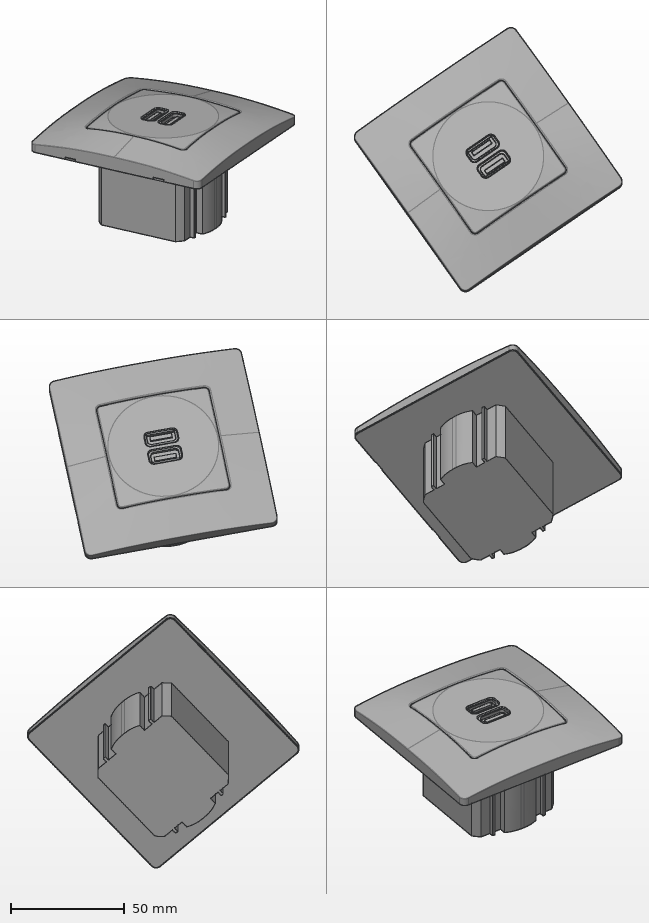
import cadquery as cq
import math

TOTAL_HEIGHT = 47.9

FRAME_SIZE = 86.0
FRAME_BOTTOM = 37.7
FRAME_CORNER_RADIUS = 2.8
FRAME_EDGE_ROUND = 0.2
FRAME_BOTTOM_CHAMFER = 0.35
FRAME_SLOPE = 0.21
SLOPE_EXPONENT = 2.5
SLOPE_SPANS = 24
SLOPE_OVERSHOOT = 0.9
OUTER_EDGE_BAND = (39.9, 44.7)

WINDOW_HALF = 25.2
WINDOW_CORNER_RADIUS = 2.1
INSERT_GAP = 0.1
INSERT_DEPTH = 2.15
INSERT_BOTTOM = TOTAL_HEIGHT - INSERT_DEPTH
INSERT_FLAT_RADIUS = 24.3
INSERT_SLOPE = 0.15
RIM_ROUND = 0.5

SOCKET_OFFSET = 4.3
RECESS_WIDTH = 7.1
RECESS_LENGTH = 15.05
RECESS_CORNER_RADIUS = 2.2
RECESS_DEPTH = 0.5
RECESS_BEVEL = 0.4
POCKET_WIDTH = 4.7
POCKET_LENGTH = 12.55
POCKET_INNER_RADIUS = 1.6
POCKET_OUTER_RADIUS = 0.4
POCKET_FLOOR = TOTAL_HEIGHT - 2.1
TONGUE_OFFSET = 5.0
TONGUE_WIDTH = 1.9
TONGUE_LENGTH = 9.7
TONGUE_HEIGHT = 1.0

HOUSING_HALF = 21.8
HOUSING_CORNER_REACH = 28.7
BULGE_SHOULDER = 24.85
BULGE_REACH = 26.6
BULGE_HALF_WIDTH = 8.4
BULGE_FLAT_HALF = 0.9
RIB_REACH = 23.9
RIB_INNER = 12.8
RIB_OUTER = 14.1
RIB_CHAMFER = 0.3

NOTCH_INNER = 19.8
NOTCH_OUTER = 24.9
NOTCH_HEIGHT = 1.1
NOTCH_DEPTH = 0.4


def rounded_block(width, length, radius, bottom, top):
    block = cq.Workplane("XY", origin=(0, 0, bottom)).rect(width, length).extrude(top - bottom)
    return block.edges("|Z").fillet(radius)


def window_block(clearance, top):
    """Block of the window outline, smaller by the clearance on every side."""
    size = 2 * (WINDOW_HALF - clearance)
    return rounded_block(size, size, WINDOW_CORNER_RADIUS - clearance, INSERT_BOTTOM, top)


def round_window_rim(body):
    """Round the curved upper edge that runs along the window outline."""
    tolerance = 0.1
    reach = WINDOW_HALF + tolerance
    lowest = INSERT_BOTTOM + tolerance
    corner_start = WINDOW_HALF - WINDOW_CORNER_RADIUS

    def on_rim(edge):
        centre = edge.Center()
        distance = max(abs(centre.x), abs(centre.y))
        return corner_start < distance < reach and centre.z > lowest and edge.geomType() != "LINE"

    rim = [edge for edge in body.edges().vals() if on_rim(edge)]
    return body.newObject(rim).fillet(RIM_ROUND)


def superellipse(reach, height):
    """Closed section with the given reach along X and Y, made of a right and a left half."""

    def point(angle):
        c = math.cos(angle)
        s = math.sin(angle)
        norm = (abs(c) ** SLOPE_EXPONENT + abs(s) ** SLOPE_EXPONENT) ** (1 / SLOPE_EXPONENT)
        return cq.Vector(reach * c / norm, reach * s / norm, height)

    def half(start):
        points = [point(start + math.pi * i / SLOPE_SPANS) for i in range(SLOPE_SPANS + 1)]
        direction = cq.Vector(-math.sin(start), math.cos(start), 0)
        return cq.Edge.makeSpline(points, tangents=[direction, -direction])

    return cq.Wire.assembleEdges([half(-math.pi / 2), half(math.pi / 2)])


def make_frame():
    slope_top = TOTAL_HEIGHT + SLOPE_OVERSHOOT
    rim_reach = WINDOW_HALF + RIM_ROUND
    low_reach = rim_reach + (TOTAL_HEIGHT - FRAME_BOTTOM) / FRAME_SLOPE
    high_reach = rim_reach - SLOPE_OVERSHOOT / FRAME_SLOPE
    sections = [superellipse(low_reach, FRAME_BOTTOM), superellipse(high_reach, slope_top)]
    slope = cq.Workplane(cq.Solid.makeLoft(sections, True))

    frame = rounded_block(FRAME_SIZE, FRAME_SIZE, FRAME_CORNER_RADIUS, FRAME_BOTTOM, slope_top)
    frame = frame.intersect(slope)
    frame = frame.faces("<Z").edges().chamfer(FRAME_BOTTOM_CHAMFER)
    low, high = OUTER_EDGE_BAND
    band = cq.selectors.BoxSelector((-FRAME_SIZE, -FRAME_SIZE, low), (FRAME_SIZE, FRAME_SIZE, high))
    frame = frame.edges(band).edges("not |Z").fillet(FRAME_EDGE_ROUND)
    return round_window_rim(frame.cut(window_block(0, slope_top)))


def make_insert():
    """Square insert with a flat round top that falls away conically to the corners."""
    low_radius = INSERT_FLAT_RADIUS + INSERT_DEPTH / INSERT_SLOPE
    cone = cq.Solid.makeCone(
        low_radius, INSERT_FLAT_RADIUS, INSERT_DEPTH, cq.Vector(0, 0, INSERT_BOTTOM)
    )
    return round_window_rim(window_block(INSERT_GAP, TOTAL_HEIGHT).intersect(cq.Workplane(cone)))


def make_socket_cutter(side):
    """Bevelled recess with a pocket in it; the contact tongue is left standing on the pocket floor."""
    recess = rounded_block(
        RECESS_WIDTH, RECESS_LENGTH, RECESS_CORNER_RADIUS, TOTAL_HEIGHT - RECESS_DEPTH, TOTAL_HEIGHT
    )
    recess = recess.faces("<Z").edges().chamfer(RECESS_BEVEL)

    pocket = (
        cq.Workplane("XY", origin=(0, 0, POCKET_FLOOR))
        .rect(POCKET_WIDTH, POCKET_LENGTH)
        .extrude(TOTAL_HEIGHT - POCKET_FLOOR)
    )
    inner, outer = ("<X", ">X") if side > 0 else (">X", "<X")
    pocket = pocket.faces(inner).edges("|Z").fillet(POCKET_INNER_RADIUS)
    pocket = pocket.faces(outer).edges("|Z").fillet(POCKET_OUTER_RADIUS)

    tongue = (
        cq.Workplane("XY", origin=(side * (TONGUE_OFFSET - SOCKET_OFFSET), 0, POCKET_FLOOR))
        .rect(TONGUE_WIDTH, TONGUE_LENGTH)
        .extrude(TONGUE_HEIGHT)
    )
    return recess.union(pocket).cut(tongue).translate((side * SOCKET_OFFSET, 0, 0))


def make_bulge(side):
    """Rounded bulge on the side of the housing, with a narrow flat at its crest."""
    shoulder = side * BULGE_SHOULDER
    crest = side * BULGE_REACH
    rise = BULGE_REACH - BULGE_SHOULDER
    run = BULGE_HALF_WIDTH - BULGE_FLAT_HALF
    arc_radius = (run**2 + rise**2) / (2 * rise)
    half_angle = math.atan2(rise, run)
    mid_x = crest - side * arc_radius * (1 - math.cos(half_angle))
    mid_y = BULGE_FLAT_HALF + arc_radius * math.sin(half_angle)
    return (
        cq.Workplane("XY")
        .moveTo(0, -BULGE_HALF_WIDTH)
        .lineTo(shoulder, -BULGE_HALF_WIDTH)
        .threePointArc((mid_x, -mid_y), (crest, -BULGE_FLAT_HALF))
        .lineTo(crest, BULGE_FLAT_HALF)
        .threePointArc((mid_x, mid_y), (shoulder, BULGE_HALF_WIDTH))
        .lineTo(0, BULGE_HALF_WIDTH)
        .close()
        .extrude(FRAME_BOTTOM)
    )


def make_rib(side_x, side_y):
    tip = side_x * RIB_REACH
    return (
        cq.Workplane("XY")
        .moveTo(0, side_y * RIB_INNER)
        .lineTo(tip, side_y * RIB_INNER)
        .lineTo(tip, side_y * (RIB_OUTER - RIB_CHAMFER))
        .lineTo(tip - side_x * RIB_CHAMFER, side_y * RIB_OUTER)
        .lineTo(0, side_y * RIB_OUTER)
        .close()
        .extrude(FRAME_BOTTOM)
    )


def make_housing():
    housing = cq.Workplane("XY").rect(2 * HOUSING_HALF, 2 * HOUSING_HALF).extrude(FRAME_BOTTOM)
    corner_cylinder = cq.Workplane("XY").circle(HOUSING_CORNER_REACH).extrude(FRAME_BOTTOM)
    housing = housing.intersect(corner_cylinder)
    for side_x in (-1, 1):
        housing = housing.union(make_bulge(side_x))
        for side_y in (-1, 1):
            housing = housing.union(make_rib(side_x, side_y))
    return housing


def make_notch(side):
    """Cutter centred on the front face, so half of its depth bites into the frame."""
    centre_x = side * (NOTCH_INNER + NOTCH_OUTER) / 2
    return (
        cq.Workplane("XY", origin=(centre_x, -FRAME_SIZE / 2, FRAME_BOTTOM))
        .rect(NOTCH_OUTER - NOTCH_INNER, 2 * NOTCH_DEPTH)
        .extrude(NOTCH_HEIGHT)
    )


result = make_frame().union(make_insert()).union(make_housing())
for side in (-1, 1):
    result = result.cut(make_socket_cutter(side)).cut(make_notch(side))